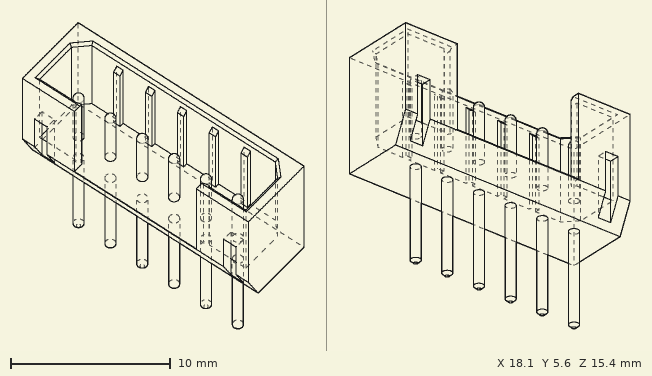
import cadquery as cq
import math

length = 18.06
depth = 5.6
height = 8.42
floor_height = 2.2
end_wall = 0.8
front_wall = 0.74
back_wall = 0.75
corner_leg = 0.9
rim_chamfer = 0.2
taper_height = 2.15
taper_run = 1.0

opening_length = 9.73
slot_width = 1.0
slot_end_distance = 0.98
slot_top = 5.0

key_rib_width = 0.47
key_rib_depth = 0.25
back_rib_width = 0.5
back_rib_depth = 0.3
back_rib_top = 7.71

pin_count = 6
pin_pitch = 2.55
pin_diameter = 0.7
pin_y = 2.3
pin_top = 6.52
pin_below = 6.99
pin_tip_chamfer = 0.22

cavity_half_length = length / 2 - end_wall
cavity_back = depth - back_wall
pin_radius = pin_diameter / 2


def centred_positions(count):
    """X positions of evenly pitched features, centred on the housing."""
    return [(i - (count - 1) / 2) * pin_pitch for i in range(count)]


def block(x_min, x_max, y_min, y_max, z_min, z_max):
    size = (x_max - x_min, y_max - y_min, z_max - z_min)
    return cq.Workplane("XY").box(*size, centered=False).translate((x_min, y_min, z_min))


def side_profile(points, x_min, x_max):
    """Extrude a (Y, Z) outline along X."""
    return cq.Workplane("YZ").polyline(points).close().extrude(x_max - x_min).translate((x_min, 0, 0))


def make_shell():
    outline = [
        (taper_run, 0),
        (depth, 0),
        (depth, height),
        (0, height),
        (0, taper_height),
    ]
    return side_profile(outline, -length / 2, length / 2)


def cavity_outline(z, growth):
    """Cavity outline at height z, with every side moved outward by growth."""
    x = cavity_half_length + growth
    y_front = front_wall - growth
    y_back = cavity_back + growth
    leg = corner_leg + growth * (2 - math.sqrt(2))
    outline = [
        (-x, y_front),
        (x, y_front),
        (x, y_back - leg),
        (x - leg, y_back),
        (-x + leg, y_back),
        (-x, y_back - leg),
    ]
    return cq.Workplane("XY").workplane(offset=z).polyline(outline).close()


def make_cavity():
    """Bevelled cavity that flares at 45 degrees up to the rim."""
    flare_bottom = height - rim_chamfer
    cavity = cavity_outline(floor_height, 0).extrude(height - floor_height)
    lower = cavity_outline(flare_bottom, 0).wires().val()
    upper = cavity_outline(height, rim_chamfer).wires().val()
    flare = cq.Solid.makeLoft([lower, upper], True)
    return cavity.union(flare)


def make_front_opening():
    half = opening_length / 2
    return block(-half, half, 0, front_wall, floor_height, height)


def make_slot(side):
    """Slot through the front wall that runs down into the sloped edge."""
    outer = length / 2 - slot_end_distance
    x_min, x_max = sorted((side * outer, side * (outer - slot_width)))
    return block(x_min, x_max, 0, front_wall, 0, slot_top)


def make_key_rib(side):
    """Triangular rib beside the opening, its top continuing the rim chamfer."""
    edge = opening_length / 2
    outline = [
        (side * edge, front_wall),
        (side * (edge + key_rib_width / 2), front_wall + key_rib_depth),
        (side * (edge + key_rib_width), front_wall),
    ]
    rib = cq.Workplane("XY").workplane(offset=floor_height).polyline(outline).close()
    rib = rib.extrude(height - floor_height)
    rib_tip = front_wall + key_rib_depth
    rib_top = height - rim_chamfer
    envelope = [
        (front_wall, floor_height),
        (rib_tip, floor_height),
        (rib_tip, rib_top - key_rib_depth),
        (front_wall, rib_top),
    ]
    return rib.intersect(side_profile(envelope, -length / 2, length / 2))


def make_back_rib(x):
    """Rectangular rib on the back wall with a 45 degree top."""
    front = cavity_back - back_rib_depth
    outline = [
        (cavity_back, floor_height),
        (front, floor_height),
        (front, back_rib_top - back_rib_depth),
        (cavity_back, back_rib_top),
    ]
    return side_profile(outline, x - back_rib_width / 2, x + back_rib_width / 2)


def make_pin(x):
    """Round pin with a domed top and a chamfered lower tip."""
    dome_base = pin_below + pin_top - pin_radius
    pin = cq.Workplane("XY").circle(pin_radius).extrude(dome_base)
    pin = pin.faces("<Z").chamfer(pin_tip_chamfer)
    dome = cq.Workplane("XY").sphere(pin_radius).translate((0, 0, dome_base))
    return pin.union(dome).translate((x, pin_y, -pin_below))


result = make_shell().cut(make_cavity()).cut(make_front_opening())

for side in (-1, 1):
    result = result.cut(make_slot(side)).union(make_key_rib(side))

for x in centred_positions(pin_count - 1):
    result = result.union(make_back_rib(x))

for x in centred_positions(pin_count):
    result = result.union(make_pin(x))